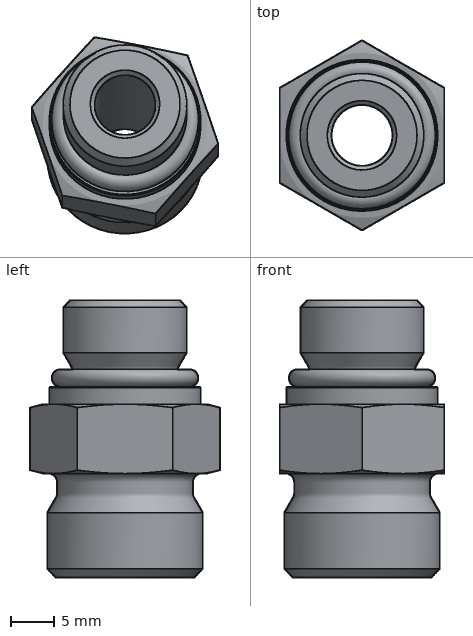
import cadquery as cq
import math

total_height = 32.0
lower_cone_bottom = 7.5
hex_bottom = 12.0
hex_top = 20.0
collar_top = 22.0
upper_cone_top = 25.95

hex_across_flats = 19.0
lower_thread_diameter = 18.0
lower_end_diameter = 16.0
lower_neck_diameter = 15.7
collar_diameter = 17.5
upper_neck_diameter = 12.22
upper_thread_diameter = 14.27
upper_end_diameter = 12.7
bore_diameter = 7.0
bore_mouth_diameter = 8.0

lower_end_chamfer_height = 1.02
upper_end_chamfer_height = 0.83
collar_chamfer = 0.13
bore_chamfer = (bore_mouth_diameter - bore_diameter) / 2
hex_fillet_radius = 1.0
hex_chamfer_angle = 15
cone_angle = 30
cone_blend_radius = 1.0

ring_outer_diameter = 16.93
ring_section_diameter = 2.0


def cone_blend_points(neck_diameter, thread_diameter, cone_base, direction):
    """Return (radius, height) at the cone end, middle and neck end of a tangent blend.

    The cone narrows from the thread at cone_base; direction is 1 upwards, -1 downwards.
    """
    slope = math.radians(cone_angle)
    neck_radius = neck_diameter / 2
    cone_end_radius = neck_radius + cone_blend_radius * (1 - math.cos(slope))
    cone_height = (thread_diameter / 2 - cone_end_radius) / math.tan(slope)
    neck_end_height = cone_base + direction * (cone_height + cone_blend_radius * math.sin(slope))

    def point_at(angle):
        radius = neck_radius + cone_blend_radius * (1 - math.cos(angle))
        height = neck_end_height - direction * cone_blend_radius * math.sin(angle)
        return radius, height

    return point_at(slope), point_at(slope / 2), point_at(0)


def make_turned_body():
    """Revolve the stepped outer profile of the fitting about Z."""
    lower_neck_radius = lower_neck_diameter / 2
    thread_radius = lower_thread_diameter / 2
    collar_radius = collar_diameter / 2

    lower_blend = cone_blend_points(lower_neck_diameter, lower_thread_diameter, lower_cone_bottom, 1)
    upper_blend = cone_blend_points(upper_neck_diameter, upper_thread_diameter, upper_cone_top, -1)
    lower_cone_end, lower_blend_middle, lower_neck_end = lower_blend
    upper_cone_end, upper_blend_middle, upper_neck_end = upper_blend

    fillet_bottom = hex_bottom - hex_fillet_radius
    fillet_middle = (
        lower_neck_radius + hex_fillet_radius * (1 - math.cos(math.pi / 4)),
        fillet_bottom + hex_fillet_radius * math.sin(math.pi / 4),
    )

    return (
        cq.Workplane("XZ")
        .moveTo(0, 0)
        .lineTo(lower_end_diameter / 2, 0)
        .lineTo(thread_radius, lower_end_chamfer_height)
        .lineTo(thread_radius, lower_cone_bottom)
        .lineTo(*lower_cone_end)
        .threePointArc(lower_blend_middle, lower_neck_end)
        .lineTo(lower_neck_radius, fillet_bottom)
        .threePointArc(fillet_middle, (lower_neck_radius + hex_fillet_radius, hex_bottom))
        .lineTo(collar_radius, hex_bottom)
        .lineTo(collar_radius, collar_top - collar_chamfer)
        .lineTo(collar_radius - collar_chamfer, collar_top)
        .lineTo(upper_neck_diameter / 2, collar_top)
        .lineTo(*upper_neck_end)
        .threePointArc(upper_blend_middle, upper_cone_end)
        .lineTo(upper_thread_diameter / 2, upper_cone_top)
        .lineTo(upper_thread_diameter / 2, total_height - upper_end_chamfer_height)
        .lineTo(upper_end_diameter / 2, total_height)
        .lineTo(0, total_height)
        .close()
        .revolve(360, (0, 0), (0, 1))
    )


def make_hexagon():
    """Make the wrench hexagon with conically chamfered corners."""
    flat_radius = hex_across_flats / 2
    corner_radius = flat_radius / math.cos(math.pi / 6)
    corner_drop = (corner_radius - flat_radius) * math.tan(math.radians(hex_chamfer_angle))
    prism = (
        cq.Workplane("XY", origin=(0, 0, hex_bottom))
        .polygon(6, 2 * corner_radius)
        .extrude(hex_top - hex_bottom)
        .rotate((0, 0, 0), (0, 0, 1), 30)
    )
    chamfer_envelope = (
        cq.Workplane("XZ")
        .moveTo(0, hex_bottom)
        .lineTo(flat_radius, hex_bottom)
        .lineTo(corner_radius, hex_bottom + corner_drop)
        .lineTo(corner_radius, hex_top - corner_drop)
        .lineTo(flat_radius, hex_top)
        .lineTo(0, hex_top)
        .close()
        .revolve(360, (0, 0), (0, 1))
    )
    return prism.intersect(chamfer_envelope)


def make_bore():
    """Make the through bore with its countersunk upper mouth."""
    bore_radius = bore_diameter / 2
    return (
        cq.Workplane("XZ")
        .moveTo(0, 0)
        .lineTo(bore_radius, 0)
        .lineTo(bore_radius, total_height - bore_chamfer)
        .lineTo(bore_mouth_diameter / 2, total_height)
        .lineTo(0, total_height)
        .close()
        .revolve(360, (0, 0), (0, 1))
    )


def make_fitting():
    """Join the turned body and hexagon, then bore them through."""
    return make_turned_body().union(make_hexagon()).cut(make_bore())


def make_sealing_ring():
    """Make the round-section ring that rests on the collar."""
    section_radius = ring_section_diameter / 2
    centre_radius = ring_outer_diameter / 2 - section_radius
    return (
        cq.Workplane("XZ")
        .center(centre_radius, collar_top + section_radius)
        .circle(section_radius)
        .revolve(360, (-centre_radius, 0), (-centre_radius, 1))
    )


fitting = make_fitting()
sealing_ring = make_sealing_ring()
result = cq.Compound.makeCompound([fitting.val(), sealing_ring.val()])